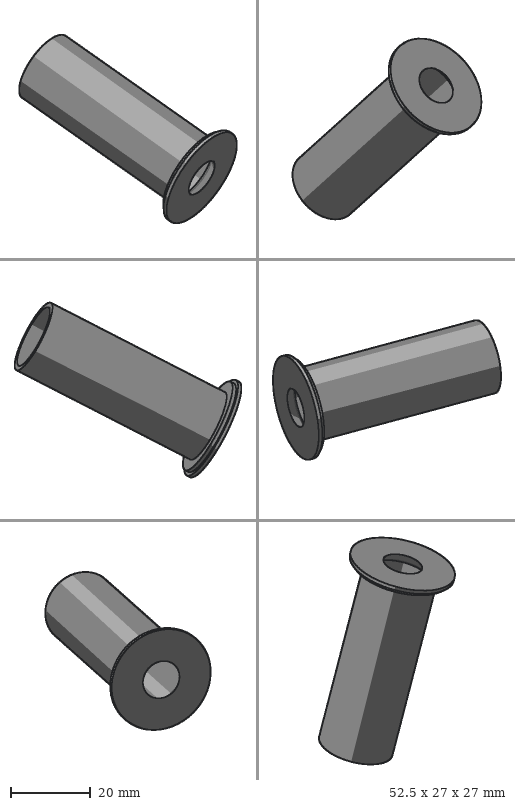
import cadquery as cq
import math

total_length = 52.5
flange_thickness = 1.0
step_thickness = 1.0

tube_diameter = 19.05
step_diameter = 25.0
flange_diameter = 27.0

bore_diameter = 16.5
cone_end_diameter = 15.0
outlet_diameter = 10.0

cone_angle = 45.0
outlet_angle = 38.0

mean_angle = math.radians((cone_angle + outlet_angle) / 2)
half_turn = math.radians((cone_angle - outlet_angle) / 2)
funnel_drop = (cone_end_diameter - outlet_diameter) / 2
funnel_length = funnel_drop / math.tan(mean_angle)
funnel_chord = math.hypot(funnel_length, funnel_drop)
funnel_sag = funnel_chord / 2 * math.tan(half_turn / 2)
cone_length = (bore_diameter - cone_end_diameter) / 2 / math.tan(math.radians(cone_angle))

flange_start = total_length - flange_thickness
step_start = flange_start - step_thickness
funnel_start = total_length - funnel_length
cone_start = funnel_start - cone_length


def disc(diameter, start, end):
    """Solid cylinder about the X axis between two axial positions."""
    return cq.Workplane("YZ", origin=(start, 0, 0)).circle(diameter / 2).extrude(end - start)


def bore():
    """Straight bore narrowing through a cone and a funnel that bulges toward the axis."""
    funnel_middle = (
        funnel_start + funnel_length / 2 - funnel_sag * math.sin(mean_angle),
        (cone_end_diameter + outlet_diameter) / 4 - funnel_sag * math.cos(mean_angle),
    )
    profile = (
        cq.Workplane("XY")
        .moveTo(0, 0)
        .lineTo(0, bore_diameter / 2)
        .lineTo(cone_start, bore_diameter / 2)
        .lineTo(funnel_start, cone_end_diameter / 2)
        .threePointArc(funnel_middle, (total_length, outlet_diameter / 2))
        .lineTo(total_length, 0)
        .close()
    )
    return profile.revolve(360, (0, 0, 0), (1, 0, 0))


tube = disc(tube_diameter, 0, step_start)
step = disc(step_diameter, step_start, flange_start)
flange = disc(flange_diameter, flange_start, total_length)

result = tube.union(step).union(flange).cut(bore())